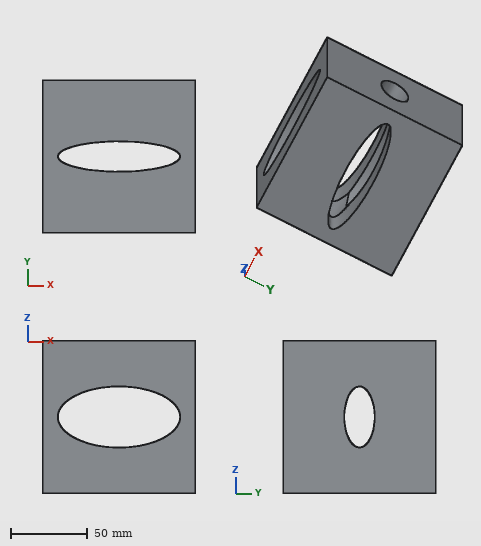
import cadquery as cq

cube_side = 100.0

opening_x = 80.0
opening_y = 20.0
opening_z = 40.0


def elliptical_hole(plane, width, height):
    """Elliptical cutter spanning the cube, normal to the given plane."""
    return (
        cq.Workplane(plane)
        .ellipse(width / 2, height / 2)
        .extrude(cube_side / 2, both=True)
    )


hole_along_x = elliptical_hole("YZ", opening_y, opening_z)
hole_along_y = elliptical_hole("XZ", opening_x, opening_z)
hole_along_z = elliptical_hole("XY", opening_x, opening_y)

result = cq.Workplane("XY").box(cube_side, cube_side, cube_side)
for hole in (hole_along_x, hole_along_y, hole_along_z):
    result = result.cut(hole)